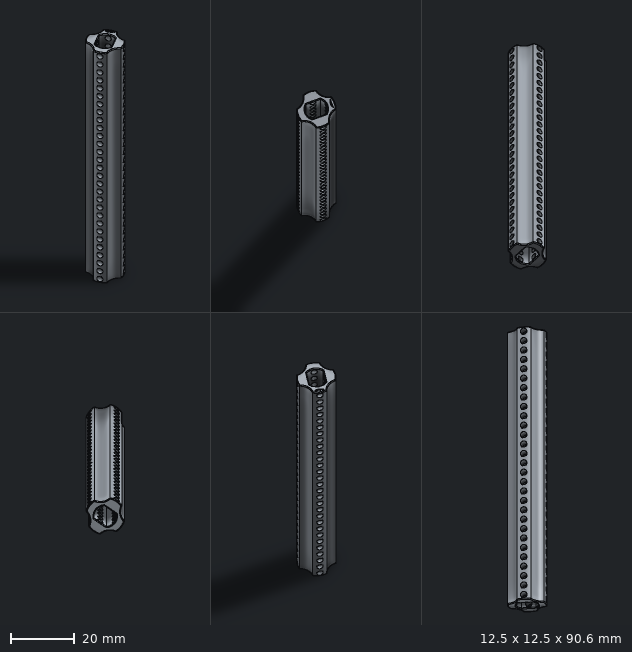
import cadquery as cq
import math

LENGTH = 90.6
OUTER_DIAMETER = 12.5
LOBE_HALF_WIDTH = 2.3
FLUTE_DEPTH = 0.8
BORE_DIAMETER = 7.1
BORE_FLAT_WIDTH = 5.3
END_CHAMFER = 0.3
HOLE_DIAMETER = 2.0
MARK_LENGTH = 2.9
MARK_BULGE = 0.45
MARK_DEPTH = 0.4
MARK_DISTANCE = 5.3
HOLE_COUNT = 29

outer_radius = OUTER_DIAMETER / 2
hole_pitch = LENGTH / HOLE_COUNT
lobe_half_angle = math.asin(LOBE_HALF_WIDTH / outer_radius)
flute_chord_distance = outer_radius * math.cos(math.pi / 4 - lobe_half_angle)
flute_floor_radius = flute_chord_distance - FLUTE_DEPTH


def polar_point(radius, angle):
    return (radius * math.cos(angle), radius * math.sin(angle))


def make_body():
    """Four rounded lobes on the X and Y axes, joined by concave flutes."""
    profile = cq.Workplane("XY").moveTo(*polar_point(outer_radius, -lobe_half_angle))
    for quarter in range(4):
        lobe = quarter * math.pi / 2
        flute = lobe + math.pi / 4
        next_lobe = lobe + math.pi / 2
        profile = profile.threePointArc(
            polar_point(outer_radius, lobe),
            polar_point(outer_radius, lobe + lobe_half_angle),
        )
        profile = profile.threePointArc(
            polar_point(flute_floor_radius, flute),
            polar_point(outer_radius, next_lobe - lobe_half_angle),
        )
    return profile.close().extrude(LENGTH)


def make_bore():
    """Round bore flattened on its +X and -X sides."""
    round_bore = cq.Workplane("XY").circle(BORE_DIAMETER / 2).extrude(LENGTH)
    flats = cq.Workplane("XY").rect(BORE_FLAT_WIDTH, OUTER_DIAMETER).extrude(LENGTH)
    return round_bore.intersect(flats)


def make_hole_row(plane):
    """Row of holes crossing the whole tube, evenly spaced along Z."""
    centers = [(0, (index + 0.5) * hole_pitch) for index in range(HOLE_COUNT)]
    return (
        cq.Workplane(plane)
        .pushPoints(centers)
        .circle(HOLE_DIAMETER / 2)
        .extrude(outer_radius, both=True)
    )


def make_index_mark():
    """Shallow recess with a straight outer edge and a curved inner edge."""
    half_length = MARK_LENGTH / 2
    return (
        cq.Workplane("XY", origin=(0, MARK_DISTANCE, LENGTH))
        .moveTo(-half_length, 0)
        .threePointArc((0, -MARK_BULGE), (half_length, 0))
        .close()
        .extrude(-MARK_DEPTH)
    )


tube = make_body().cut(make_bore())
tube = tube.faces("<Z or >Z").chamfer(END_CHAMFER)
tube = tube.cut(make_index_mark())
result = tube.cut(make_hole_row("XZ")).cut(make_hole_row("YZ"))